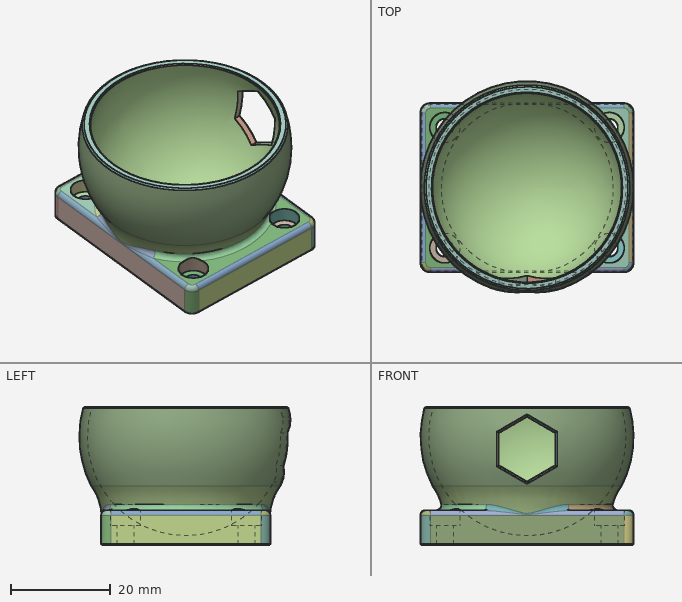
import cadquery as cq
import math

BASE_LENGTH = 42.8
BASE_WIDTH = 34.0
BASE_HEIGHT = 7.0
BASE_CORNER_RADIUS = 2.0
BASE_TOP_FILLET = 1.0
BASE_BOTTOM_CHAMFER = 0.3

SCREW_HOLE_DIAMETER = 3.4
SCREW_HEAD_DIAMETER = 6.0
SCREW_HEAD_DEPTH = 3.0
SCREW_EDGE_DISTANCE = 4.9
SCREW_X = BASE_LENGTH / 2 - SCREW_EDGE_DISTANCE
SCREW_Y = BASE_WIDTH / 2 - SCREW_EDGE_DISTANCE
SCREW_HEAD_CLEARANCE = 1.2

CUP_RADIUS = BASE_LENGTH / 2
CUP_WALL = 1.6
CAVITY_RADIUS = CUP_RADIUS - CUP_WALL
RIM_Z = 27.75
RIM_ABOVE_CENTER = 6.0
CUP_CENTER_Z = RIM_Z - RIM_ABOVE_CENTER
RIM_CHAMFER = 0.3

NECK_TOP_Z = 11.9
NECK_TOP_RADIUS = math.sqrt(CUP_RADIUS**2 - (CUP_CENTER_Z - NECK_TOP_Z) ** 2)
NECK_BOTTOM_Z = BASE_HEIGHT - BASE_TOP_FILLET
NECK_BOTTOM_RADIUS = 16.95
NECK_ARC_RADIUS = 10.0
NECK_FILLET = 1.0

WINDOW_CIRCUMRADIUS = 6.5
WINDOW_Z = CUP_CENTER_Z - 2.5
WINDOW_CHAMFER = 0.43
WINDOW_OUTER_EDGE_Y = -19.6


def make_base():
    """Rounded rectangular plate standing on Z = 0."""
    plate = cq.Workplane("XY").box(
        BASE_LENGTH, BASE_WIDTH, BASE_HEIGHT, centered=(True, True, False)
    )
    plate = plate.edges("|Z").fillet(BASE_CORNER_RADIUS)
    plate = plate.faces(">Z").edges().fillet(BASE_TOP_FILLET)
    return plate.faces("<Z").edges().chamfer(BASE_BOTTOM_CHAMFER)


def make_cup_body():
    """Solid of revolution: neck below, sphere above, flat at the rim."""
    rim_radius = math.sqrt(CUP_RADIUS**2 - RIM_ABOVE_CENTER**2)
    profile = (
        cq.Workplane("XZ")
        .moveTo(0, NECK_BOTTOM_Z)
        .lineTo(NECK_BOTTOM_RADIUS, NECK_BOTTOM_Z)
        .radiusArc((NECK_TOP_RADIUS, NECK_TOP_Z), NECK_ARC_RADIUS)
        .threePointArc((CUP_RADIUS, CUP_CENTER_Z), (rim_radius, RIM_Z))
        .lineTo(0, RIM_Z)
        .close()
    )
    return profile.revolve(360, (0, 0, 0), (0, 1, 0))


def fillet_neck(body):
    """Round the curved inside corner where the neck meets the base."""
    reach = NECK_TOP_RADIUS
    lowest = BASE_HEIGHT - BASE_TOP_FILLET / 2
    highest = BASE_HEIGHT + NECK_FILLET / 2
    joint_zone = cq.selectors.BoxSelector((-reach, -reach, lowest), (reach, reach, highest))
    return body.edges("not %LINE").edges(joint_zone).fillet(NECK_FILLET)


def cut_cavity(body):
    """Hollow the cup with a concentric sphere and break both rim edges."""
    cavity = cq.Workplane("XY").sphere(CAVITY_RADIUS).translate((0, 0, CUP_CENTER_Z))
    return body.cut(cavity).faces(">Z").edges().chamfer(RIM_CHAMFER)


def cut_screw_holes(body):
    """Four through holes with flat seats for the screw heads."""
    corners = [(sx * SCREW_X, sy * SCREW_Y) for sx in (-1, 1) for sy in (-1, 1)]
    seat_z = BASE_HEIGHT - SCREW_HEAD_DEPTH
    shafts = cq.Workplane("XY").pushPoints(corners).circle(SCREW_HOLE_DIAMETER / 2).extrude(BASE_HEIGHT)
    heads = (
        cq.Workplane("XY", origin=(0, 0, seat_z))
        .pushPoints(corners)
        .circle(SCREW_HEAD_DIAMETER / 2)
        .extrude(SCREW_HEAD_DEPTH + SCREW_HEAD_CLEARANCE)
    )
    return body.cut(shafts).cut(heads)


def cut_window(body):
    """Hexagonal opening in the -Y wall, chamfered on its outer edge."""
    opening = (
        cq.Workplane("XZ", origin=(0, 0, WINDOW_Z))
        .transformed(rotate=(0, 0, 90))
        .polygon(6, 2 * WINDOW_CIRCUMRADIUS)
        .extrude(CUP_RADIUS)
    )
    reach = WINDOW_CIRCUMRADIUS
    outer_zone = cq.selectors.BoxSelector(
        (-reach, -CUP_RADIUS, WINDOW_Z - reach),
        (reach, WINDOW_OUTER_EDGE_Y, WINDOW_Z + reach),
    )
    return body.cut(opening).edges("not |Y").edges(outer_zone).chamfer(WINDOW_CHAMFER)


body = make_base().union(make_cup_body())
body = fillet_neck(body)
body = cut_cavity(body)
body = cut_screw_holes(body)
result = cut_window(body)